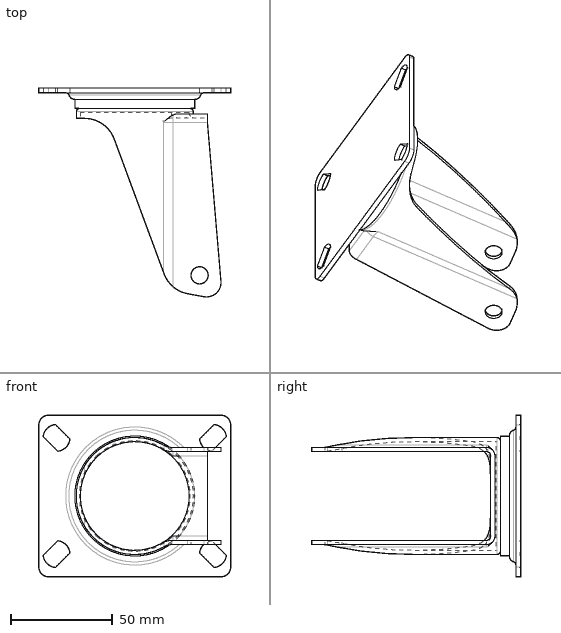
import cadquery as cq
import math


plate_width = 95.0
plate_height = 80.0
plate_thickness = 2.5
plate_corner_radius = 5.0
slot_diameter = 13.1
slot_width = 8.5
slot_offset_x = 38.7
slot_offset_z = 28.8
slot_angle = 45

ring_end = 5.7
ring_root_radius = 1.7
ring_edge_radius = 3.1
collar_radius = 29.7
collar_end = 10.1

sheet = 2.1
cup_radius = 29.0
cup_edge_fillet = 1.5
leg_half_span = 24.0
web_top = 12.8
bend_radius = 4.1
blend_radius = 9.8
cup_floor = collar_end + sheet
cup_bore_radius = cup_radius - sheet
leg_half_gap = leg_half_span - sheet
inner_bend_radius = bend_radius - sheet
web_bottom = web_top + sheet
lip_radius = web_bottom - cup_floor

fork_length = 103.4
cup_rim = 15.1
web_edge_x = 36.0
throat_radius = 15.5
throat_corner_x = -14.0
front_edge_angle = 69.7
heel_radius = 15.5
tip_edge_angle = 10.5
toe_radius = 7.2
toe_center_x = 35.5
axle_diameter = 8.4
axle_x = 32.1
axle_y = -92.7

blend_center_z = leg_half_span + blend_radius
blend_center_x = math.sqrt((cup_radius + blend_radius) ** 2 - blend_center_z ** 2)


def disc(radius, start, end):
    """Cylinder on the swivel axis between two depths measured from the plate back."""
    return cq.Workplane("XZ", origin=(0, -start, 0)).circle(radius).extrude(end - start)


def polar(center, radius, angle):
    """Point at an angle in degrees on a circle."""
    turn = math.radians(angle)
    return (center[0] + radius * math.cos(turn), center[1] + radius * math.sin(turn))


def mounting_plate():
    """Rounded plate with a diagonal bolt slot in each corner."""
    plate = cq.Workplane("XZ").rect(plate_width, plate_height).extrude(plate_thickness)
    plate = plate.edges("|Y").fillet(plate_corner_radius)
    band = cq.Workplane("XZ").rect(slot_diameter, slot_width).extrude(plate_thickness)
    slot = disc(slot_diameter / 2, 0, plate_thickness).intersect(band)
    for side_x in (-1, 1):
        for side_z in (-1, 1):
            turned = slot.rotate((0, 0, 0), (0, 1, 0), -slot_angle * side_x * side_z)
            plate = plate.cut(turned.translate((side_x * slot_offset_x, 0, side_z * slot_offset_z)))
    return plate


def swivel_head():
    """Ring with an S-shaped edge, carrying the bearing collar."""
    edge_center = (collar_radius, ring_edge_radius - ring_end)
    root_drop = -plate_thickness - ring_root_radius - edge_center[1]
    joint_angle = math.degrees(math.asin(root_drop / (ring_edge_radius + ring_root_radius)))
    root_center = polar(edge_center, ring_edge_radius + ring_root_radius, joint_angle)
    ring = (
        cq.Workplane("XY")
        .moveTo(0, -plate_thickness)
        .lineTo(root_center[0], -plate_thickness)
        .threePointArc(
            polar(root_center, ring_root_radius, (90 + 180 + joint_angle) / 2),
            polar(edge_center, ring_edge_radius, joint_angle),
        )
        .threePointArc(
            polar(edge_center, ring_edge_radius, (joint_angle - 90) / 2),
            (collar_radius, -ring_end),
        )
        .lineTo(0, -ring_end)
        .close()
        .revolve(360, (0, 0, 0), (0, 1, 0))
    )
    return ring.union(disc(collar_radius, ring_end, collar_end))


def leg_block(half_span, top, edge_radius):
    """Flat-sided block behind the cup, with concave blends and a rounded top along both sides."""
    radius = blend_center_z - half_span
    cup_direction = math.degrees(math.atan2(blend_center_z, blend_center_x))
    center = (blend_center_x, blend_center_z)
    start = polar(center, radius, cup_direction + 180)
    middle = polar(center, radius, (cup_direction + 180 + 270) / 2)
    reach = 2 * web_edge_x
    block = (
        cq.Workplane("XZ", origin=(0, -top, 0))
        .moveTo(*start)
        .threePointArc(middle, (blend_center_x, half_span))
        .lineTo(reach, half_span)
        .lineTo(reach, -half_span)
        .lineTo(blend_center_x, -half_span)
        .threePointArc((middle[0], -middle[1]), (start[0], -start[1]))
        .close()
        .extrude(fork_length - top)
    )
    return block.faces(">Y").edges("not |Z").fillet(edge_radius)


def fork_outline():
    """Side outline of the fork as a prism through both legs."""
    front_slope = math.tan(math.radians(front_edge_angle))
    tip_slope = math.tan(math.radians(tip_edge_angle))
    toe_center = (toe_center_x, -fork_length + toe_radius)

    tip_end = polar(toe_center, toe_radius, -90 - tip_edge_angle)
    heel_x = (
        tip_end[1] + cup_rim + tip_slope * tip_end[0] - front_slope * throat_corner_x
    ) / (tip_slope - front_slope)
    heel_y = -cup_rim - front_slope * (heel_x - throat_corner_x)

    bend_end = (web_edge_x, -web_top - bend_radius)
    rise = bend_end[1] - toe_center[1]
    run = bend_end[0] - toe_center[0]
    spread = math.degrees(math.acos(toe_radius / math.hypot(run, rise)))
    rear_angle = math.degrees(math.atan2(rise, run)) - spread
    rear_end = polar(toe_center, toe_radius, rear_angle)
    toe_middle = polar(toe_center, toe_radius, (rear_angle - 90 - tip_edge_angle) / 2)

    outline = (
        cq.Workplane("XY", origin=(0, 0, -cup_radius))
        .moveTo(-cup_radius, -collar_end)
        .lineTo(-cup_radius, -cup_rim)
        .lineTo(throat_corner_x, -cup_rim)
        .lineTo(heel_x, heel_y)
        .lineTo(*tip_end)
        .threePointArc(toe_middle, rear_end)
        .lineTo(*bend_end)
        .lineTo(web_edge_x, -collar_end)
        .close()
        .extrude(2 * cup_radius)
    )
    outline = rounded_corner(outline, throat_corner_x, -cup_rim, throat_radius)
    outline = rounded_corner(outline, heel_x, heel_y, heel_radius)
    axle_hole = (
        cq.Workplane("XY", origin=(axle_x, axle_y, -cup_radius))
        .circle(axle_diameter / 2)
        .extrude(2 * cup_radius)
    )
    return outline.cut(axle_hole)


def rounded_corner(prism, x, y, radius):
    """Fillet the prism's upright edge at the given corner."""
    return prism.edges(cq.selectors.NearestToPointSelector((x, y, 0))).fillet(radius)


def web_lip():
    """Flared space between the cup bore and the web, leaving a rounded lip on the web."""
    lip_end = cup_bore_radius + lip_radius
    half = math.sqrt(0.5)
    middle = (lip_end - lip_radius * half, -(cup_floor + lip_radius * half))
    flare = (
        cq.Workplane("XY")
        .moveTo(0, -cup_floor)
        .lineTo(cup_bore_radius, -cup_floor)
        .threePointArc(middle, (lip_end, -web_bottom))
        .lineTo(0, -web_bottom)
        .close()
        .revolve(360, (0, 0, 0), (0, 1, 0))
    )
    flat_width = 2 * (leg_half_gap - inner_bend_radius)
    web_side = (
        cq.Workplane("XZ")
        .rect(web_edge_x, flat_width)
        .extrude(web_bottom)
        .translate((web_edge_x / 2, 0, 0))
    )
    return flare.intersect(web_side)


def fork():
    """Sheet-walled cup, web and legs, trimmed to the side outline."""
    cup = disc(cup_radius, collar_end, fork_length).faces(">Y").edges().fillet(cup_edge_fillet)
    body = cup.union(leg_block(leg_half_span, web_top, bend_radius))

    cavity = disc(cup_bore_radius, cup_floor, fork_length)
    cavity = cavity.union(leg_block(leg_half_gap, web_bottom, inner_bend_radius))
    cavity = cavity.union(web_lip())

    return body.cut(cavity).intersect(fork_outline())


result = mounting_plate().union(swivel_head()).union(fork())